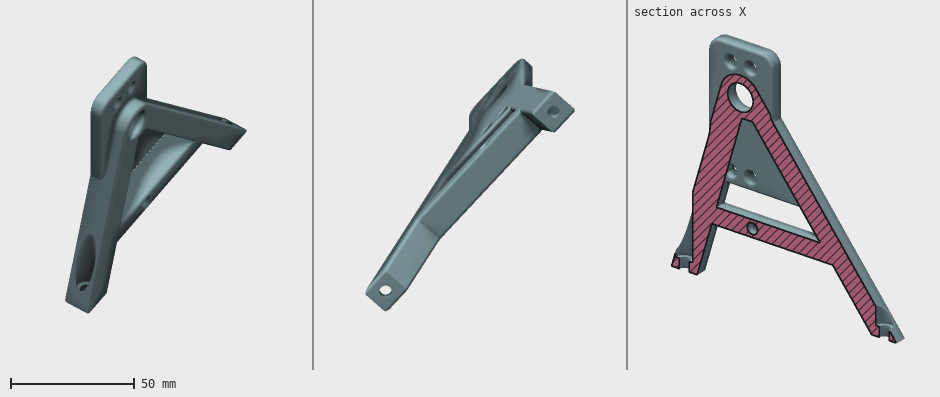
import cadquery as cq
import math

frame_thickness = 12.7
overall_height = 110.85
overall_span = 114.82
edge_radius = 1.4

plate_thickness = 6.35
neck_width = 33.2
neck_corner_radius = 6.35
plate_bottom = 46.4

bore_diameter = 12.7
bore_height = 87.6
boss_radius = 9.3
blend_radius = 1.15

rear_reach = 79.65
front_reach = overall_span - rear_reach
rear_leg_width = 10.16
front_leg_width = 12.7
crossbar_bottom = 25.6
crossbar_top = 34.0
opening_top = bore_height - boss_radius

screw_diameter = 5.08
screw_spacing = 10.03
upper_screw_height = 102.35
lower_screw_height = 52.65
crossbar_hole_offset = 6.1

foot_hole_diameter = 5.01
counterbore_diameter = 8.26
counterbore_floor = 5.08


class Leg:
    """A straight leg; its outer edge runs from the foot tip to a tangent point on the boss."""

    def __init__(self, side, reach, width):
        self.side = side
        self.reach = reach
        tip_distance = math.hypot(reach, bore_height)
        self.slope = math.atan2(bore_height, reach) + math.asin(boss_radius / tip_distance)
        self.level_width = width / math.sin(self.slope)

    def outer(self, height):
        """Point on the outer edge at the given height."""
        return (self.side * (self.reach - height / math.tan(self.slope)), height)

    def middle(self, height):
        """Point halfway between the outer and inner edges at the given height."""
        return (self.outer(height)[0] - self.side * self.level_width / 2, height)

    def inner(self, height):
        """Point on the inner edge at the given height."""
        return (self.outer(height)[0] - self.side * self.level_width, height)

    def tangent_point(self):
        """Where the outer edge touches the boss."""
        return (
            self.side * boss_radius * math.sin(self.slope),
            bore_height + boss_radius * math.cos(self.slope),
        )


rear_leg = Leg(1, rear_reach, rear_leg_width)
front_leg = Leg(-1, front_reach, front_leg_width)


def side_sketch():
    """Workplane whose axes are global Y and Z and whose normal is +X."""
    return cq.Workplane("YZ")


def make_frame():
    """A-frame of two legs, a crossbar and a round boss, with rounded face edges."""
    outline = (
        side_sketch()
        .moveTo(*rear_leg.outer(0))
        .lineTo(*rear_leg.tangent_point())
        .threePointArc((0, bore_height + boss_radius), front_leg.tangent_point())
        .lineTo(*front_leg.outer(0))
        .lineTo(*front_leg.inner(0))
        .lineTo(*front_leg.inner(crossbar_bottom))
        .lineTo(*rear_leg.inner(crossbar_bottom))
        .lineTo(*rear_leg.inner(0))
        .close()
        .extrude(frame_thickness)
    )
    opening = (
        side_sketch()
        .moveTo(*rear_leg.inner(crossbar_top))
        .lineTo(*rear_leg.inner(opening_top))
        .lineTo(*front_leg.inner(opening_top))
        .lineTo(*front_leg.inner(crossbar_top))
        .close()
        .extrude(frame_thickness)
    )
    return outline.cut(opening).faces("<X or >X").edges().fillet(edge_radius)


def make_plate():
    """Neck plate; its lower edges are buried inside the legs."""
    half_width = neck_width / 2
    shoulder = (rear_leg.reach - rear_leg.level_width / 2 - half_width) * math.tan(rear_leg.slope)
    plate = (
        side_sketch()
        .moveTo(-half_width, plate_bottom)
        .lineTo(-half_width, overall_height)
        .lineTo(half_width, overall_height)
        .lineTo(*rear_leg.middle(shoulder))
        .lineTo(*rear_leg.middle(plate_bottom))
        .close()
        .extrude(plate_thickness)
    )
    plate = plate.edges("|X").edges(">Z").fillet(neck_corner_radius)
    return plate.faces("<X or >X").edges().fillet(edge_radius)


def rounded_bore(diameter, depth, y, z):
    """Cutter for a hole along X from X = 0, its rims rounded at both ends."""
    radius = diameter / 2
    rim = radius + edge_radius
    return (
        cq.Workplane("XY")
        .moveTo(0, 0)
        .lineTo(0, rim)
        .radiusArc((edge_radius, radius), -edge_radius)
        .lineTo(depth - edge_radius, radius)
        .radiusArc((depth, rim), -edge_radius)
        .lineTo(depth, 0)
        .close()
        .revolve(360, (0, 0, 0), (1, 0, 0))
        .translate((0, y, z))
    )


def foot_hole(leg):
    """Cutter for a vertical foot hole whose counterbore runs up and out of the leg."""
    y = leg.middle(0)[0]
    through = cq.Workplane("XY").circle(foot_hole_diameter / 2).extrude(counterbore_floor)
    counterbore = (
        cq.Workplane("XY", origin=(0, 0, counterbore_floor))
        .circle(counterbore_diameter / 2)
        .extrude(plate_bottom - counterbore_floor)
    )
    return through.union(counterbore).translate((frame_thickness / 2, y, 0))


plate = make_plate()
for height in (upper_screw_height, lower_screw_height):
    for y in (-screw_spacing / 2, screw_spacing / 2):
        plate = plate.cut(rounded_bore(screw_diameter, plate_thickness, y, height))

frame = make_frame()
crossbar_middle = (crossbar_bottom + crossbar_top) / 2
frame = frame.cut(rounded_bore(screw_diameter, frame_thickness, crossbar_hole_offset, crossbar_middle))

boss_crown = (plate_thickness, 0, bore_height + boss_radius)
result = frame.union(plate)
result = result.edges(cq.selectors.NearestToPointSelector(boss_crown)).fillet(blend_radius)
result = result.cut(rounded_bore(bore_diameter, frame_thickness, 0, bore_height))
for leg in (rear_leg, front_leg):
    result = result.cut(foot_hole(leg))